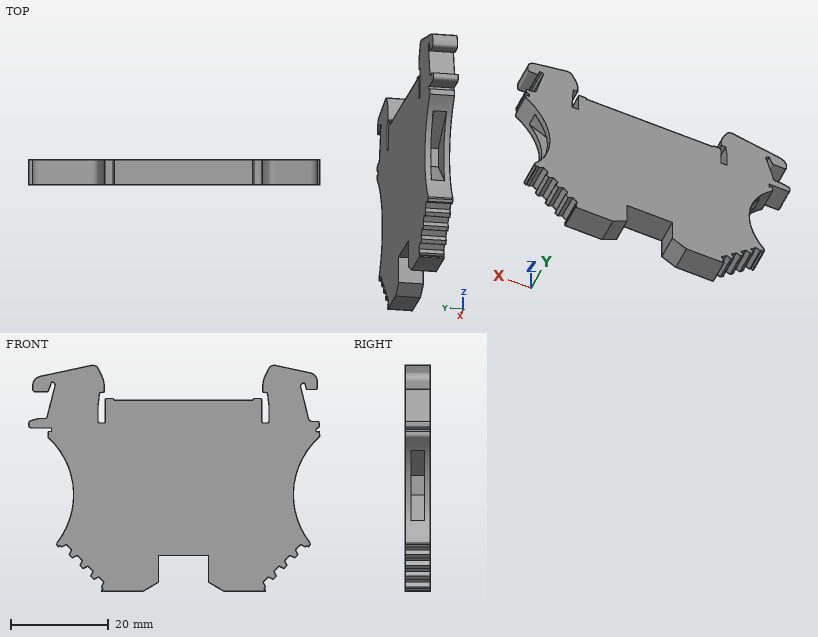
import cadquery as cq
import math


thickness = 5.2
height = 46.6

rail_half_width = 5.14
rail_depth = 7.4
rail_lead_in_height = 1.9
rail_lead_in_x = 8.35
foot_tip_x = 16.85

groove_count = 4
groove_pitch = 2.22
groove_start = (24.12, 9.63)
groove_floor = 1.05
flank_short = 0.5
flank_long = 1.0
nick_depth = 0.33

waist_centre_x = 38.6
waist_centre_z = 19.9
waist_radius = 15.95
waist_bottom_z = 10.0
waist_top_z = 31.75

body_half_width = 16.15
body_top_z = 39.4
rim_height = 0.36
rim_width = 1.65
rim_slope = 0.25
rim_radius = 0.35
slot_width = 1.42
slot_floor_z = 34.7
slot_radius = 0.3

head_inner_x = 16.28
head_step_x = 17.27
head_step_z = 40.9
head_step_drop = 0.15
head_neck_z = 38.3
head_bulge_z = 43.3
head_bulge_radius = 5.5
nose_centre_x = 18.7
nose_radius = 1.3
head_top_angle = math.radians(12)

funnel_width = 2.75
funnel_mouth_bottom_z = 14.6
funnel_mouth_top_z = 29.0
funnel_end_bottom_z = 19.9
funnel_end_top_z = 23.9
funnel_end_x = 16.8


def waist_x(z):
    """Distance of the concave side face from the centre plane at height z."""
    return waist_centre_x - math.sqrt(waist_radius**2 - (z - waist_centre_z) ** 2)


def extrude_outline(wire, width):
    """Extrude a closed XZ outline to the given width, centred on Y = 0."""
    return wire.close().extrude(width / 2, both=True)


def rounded_outline(corners):
    """Open outline on XZ through (x, z, radius) corners; radius 0 leaves a corner sharp."""
    outline = None
    for i, (x, z, radius) in enumerate(corners):
        corner = cq.Vector(x, z)
        before = cq.Vector(*corners[i - 1][:2]) - corner
        after = cq.Vector(*corners[(i + 1) % len(corners)][:2]) - corner
        half_angle = before.getAngle(after) / 2
        setback = radius / math.tan(half_angle)
        start = corner + before.normalized() * setback
        end = corner + after.normalized() * setback
        bisector = (before.normalized() + after.normalized()).normalized()
        middle = corner + bisector * (radius / math.sin(half_angle) - radius)
        if outline is None:
            outline = cq.Workplane("XZ").moveTo(start.x, start.y)
        else:
            outline = outline.lineTo(start.x, start.y)
        if radius > 0:
            outline = outline.threePointArc((middle.x, middle.y), (end.x, end.y))
    return outline


def groove_points(index):
    """Corners of one groove, from the tooth above it to the tooth below it."""
    root_x = groove_start[0] - index * groove_pitch
    root_z = groove_start[1] - index * groove_pitch
    end_x = root_x - groove_floor
    end_z = root_z - groove_floor
    return [
        (root_x + flank_long, root_z - flank_short),
        (root_x, root_z),
        (end_x, end_z),
        (end_x + flank_short, end_z - flank_long),
    ]


def half_body():
    """Right half of the body below the heads: foot, teeth, waist and raised top."""
    teeth = []
    for index in range(groove_count):
        teeth += groove_points(index)
    first_x, first_z = teeth[0]
    last_x, last_z = teeth[-1]
    upper_nick = [
        (first_x + 3 * nick_depth, waist_bottom_z - nick_depth),
        (first_x + 2 * nick_depth, first_z),
        (first_x + nick_depth, first_z + nick_depth),
    ]
    lower_nick = [
        (last_x - nick_depth, last_z - nick_depth),
        (last_x, last_z - 2 * nick_depth),
        (foot_tip_x, 0),
    ]
    outline = (
        cq.Workplane("XZ")
        .moveTo(0, body_top_z)
        .lineTo(body_half_width, body_top_z)
        .lineTo(body_half_width, slot_floor_z)
        .lineTo(body_half_width + slot_width, slot_floor_z)
        .lineTo(body_half_width + slot_width, waist_top_z)
        .lineTo(waist_x(waist_top_z), waist_top_z)
        .threePointArc(
            (waist_centre_x - waist_radius, waist_centre_z),
            (waist_x(waist_bottom_z), waist_bottom_z),
        )
    )
    for x, z in upper_nick + teeth + lower_nick:
        outline = outline.lineTo(x, z)
    outline = (
        outline.lineTo(rail_lead_in_x, 0)
        .lineTo(rail_half_width, rail_lead_in_height)
        .lineTo(rail_half_width, rail_depth)
        .lineTo(0, rail_depth)
    )
    return extrude_outline(outline, thickness)


def half_rim():
    """Low rim along the right end of the body top."""
    inner_x = body_half_width - rim_width
    rim_top_z = body_top_z + rim_height
    corners = [
        (inner_x - rim_slope, body_top_z, 0),
        (inner_x, rim_top_z, 0),
        (body_half_width, rim_top_z, rim_radius),
        (body_half_width, slot_floor_z, 0),
        (inner_x - rim_slope, slot_floor_z, 0),
    ]
    return extrude_outline(rounded_outline(corners), thickness)


def nose_corner():
    """Sharp nose corner (x, z) whose rounding just reaches the full height."""
    centre_z = height - nose_radius
    run = nose_centre_x - head_inner_x
    rise = centre_z - head_bulge_z
    flank_angle = math.atan2(rise, run) + math.asin(nose_radius / math.hypot(run, rise))
    flank_slope = math.tan(flank_angle)
    top_slope = -math.tan(head_top_angle)
    top_z_at_centre = centre_z + nose_radius / math.cos(head_top_angle)
    top_z_at_inner = top_z_at_centre + top_slope * (head_inner_x - nose_centre_x)
    distance = (top_z_at_inner - head_bulge_z) / (flank_slope - top_slope)
    return head_inner_x + distance, head_bulge_z + flank_slope * distance


def head(outer_corners, tip_x, tip_radius):
    """Head on the +X side; outer_corners run from below the hook tip to the waist."""
    nose_x, peak_z = nose_corner()
    tip_z = peak_z - (tip_x - nose_x) * math.tan(head_top_angle)
    slot_outer_x = body_half_width + slot_width
    corners = [
        (slot_outer_x, waist_top_z, 0),
        (slot_outer_x, head_neck_z, 0),
        (head_step_x, head_step_z, 0),
        (head_inner_x, head_step_z + head_step_drop, 0),
        (head_inner_x, head_bulge_z, head_bulge_radius),
        (nose_x, peak_z, nose_radius),
        (tip_x, tip_z, tip_radius),
    ]
    corners += outer_corners
    corners.append((waist_x(waist_top_z), waist_top_z, 0))
    return extrude_outline(rounded_outline(corners), thickness)


def right_head():
    """Head with the short hook and the small stepped latch below it."""
    hook_tip_x = 27.6
    hook_tip_radius = 1.9
    hook_bottom_z = 41.55
    hook_bottom_x = 25.3
    hook_radius = 0.4
    notch_outer_x = 24.98
    notch_top_x = 24.5
    notch_top_z = 42.85
    notch_inner_x = 24.1
    notch_inner_z = 42.4
    latch_root_x = 25.9
    latch_root_radius = 0.7
    latch_x = 27.97
    latch_top_z = 35.05
    latch_bottom_z = 33.9
    latch_radius = 0.4
    relief_x = 27.3
    relief_top_z = 33.4
    lip_top_z = 32.9
    lip_x = 28.1
    lip_z = 32.1
    lip_radius = 0.3
    outer_corners = [
        (hook_tip_x, hook_bottom_z, hook_radius),
        (hook_bottom_x, hook_bottom_z, hook_radius),
        (notch_outer_x, notch_top_z, 0),
        (notch_top_x, notch_top_z, 0),
        (notch_inner_x, notch_inner_z, 0),
        (latch_root_x, latch_top_z, latch_root_radius),
        (latch_x, latch_top_z, latch_radius),
        (latch_x, latch_bottom_z, 0),
        (relief_x, relief_top_z, 0),
        (relief_x, lip_top_z, 0),
        (latch_x, lip_top_z, 0),
        (lip_x, lip_z, lip_radius),
    ]
    return head(outer_corners, hook_tip_x, hook_tip_radius)


def left_head():
    """Head with the long hook and the projecting finger, mirrored onto the -X side."""
    hook_tip_x = 31.1
    hook_tip_radius = 2.1
    hook_bottom_z = 41.1
    hook_bottom_x = 27.9
    hook_outer_radius = 0.6
    hook_inner_radius = 0.3
    notch_outer_x = 27.15
    notch_outer_z = 43.1
    notch_top_x = 26.7
    notch_top_z = 43.0
    notch_inner_x = 26.45
    notch_inner_z = 42.5
    finger_root_x = 28.2
    finger_root_radius = 0.3
    finger_flat_x = 29.85
    finger_top_z = 35.65
    finger_tip_x = 31.9
    finger_tip_z = 35.05
    finger_bottom_z = 33.65
    finger_tip_radius = 0.6
    relief_x = 27.2
    lip_x = 27.88
    lip_top_z = 32.95
    lip_radius = 0.15
    outer_corners = [
        (hook_tip_x, hook_bottom_z, hook_outer_radius),
        (hook_bottom_x, hook_bottom_z, hook_inner_radius),
        (notch_outer_x, notch_outer_z, 0),
        (notch_top_x, notch_top_z, 0),
        (notch_inner_x, notch_inner_z, 0),
        (finger_root_x, finger_top_z, finger_root_radius),
        (finger_flat_x, finger_top_z, 0),
        (finger_tip_x, finger_tip_z, finger_tip_radius),
        (finger_tip_x, finger_bottom_z, finger_tip_radius),
        (relief_x, finger_bottom_z, 0),
        (relief_x, lip_top_z, 0),
        (lip_x, lip_top_z, lip_radius),
    ]
    return head(outer_corners, hook_tip_x, hook_tip_radius).mirror("YZ")


def wire_funnel():
    """Tapered pocket that opens in the concave right side face."""
    bottom_x = waist_x(funnel_mouth_bottom_z)
    top_x = waist_x(funnel_mouth_top_z)
    outline = (
        cq.Workplane("XZ")
        .moveTo(funnel_end_x, funnel_end_bottom_z)
        .lineTo(bottom_x, funnel_mouth_bottom_z)
        .lineTo(waist_centre_x, funnel_mouth_bottom_z)
        .lineTo(waist_centre_x, funnel_mouth_top_z)
        .lineTo(top_x, funnel_mouth_top_z)
        .lineTo(funnel_end_x, funnel_end_top_z)
    )
    return extrude_outline(outline, funnel_width)


def both_sides(shape):
    """The shape together with its mirror image across the centre plane."""
    return shape.union(shape.mirror("YZ"))


def round_slot_floors(plate):
    """Round the two floor corners of each slot."""
    reach = slot_width
    for side in (-1, 1):
        centre_x = side * (body_half_width + slot_width / 2)
        slot_box = cq.selectors.BoxSelector(
            (centre_x - reach, -thickness, slot_floor_z - slot_radius),
            (centre_x + reach, thickness, slot_floor_z + slot_radius),
        )
        plate = plate.edges("|Y").edges(slot_box).fillet(slot_radius)
    return plate


plate = both_sides(half_body().union(half_rim()))
plate = plate.union(left_head()).union(right_head()).clean()
plate = round_slot_floors(plate)
result = plate.cut(both_sides(wire_funnel()))